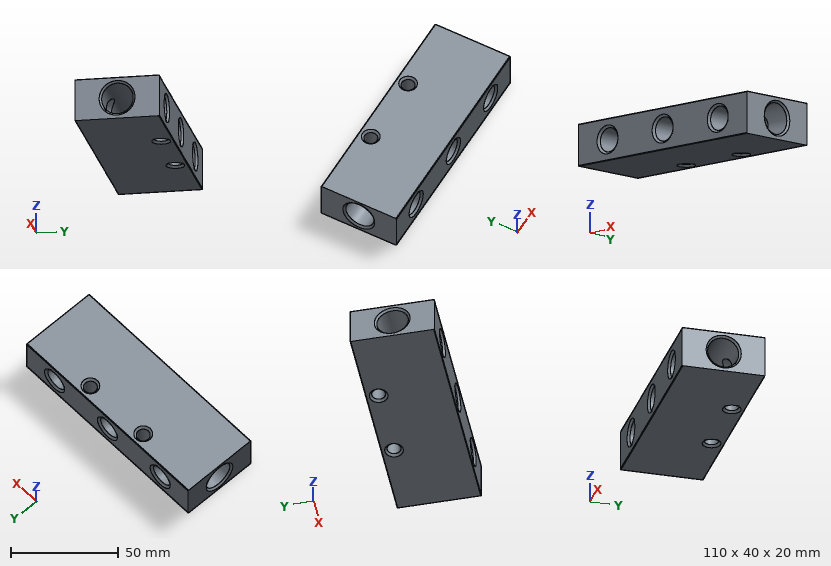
import cadquery as cq

length = 110.0
depth = 40.0
height = 20.0
edge_chamfer = 0.3

main_bore = 15.0
main_mouth = 16.9

port_bore = 11.4
port_mouth = 13.6
port_pitch = 36.0

mount_bore = 6.5
mount_mouth = 8.7
mount_y = 14.0


def through_hole(axis, center, span, bore, mouth):
    """Cutter for a through hole with a 45 degree countersink at both ends."""
    half = span / 2
    sink = (mouth - bore) / 2
    profile = [
        (0, -half),
        (mouth / 2, -half),
        (bore / 2, -half + sink),
        (bore / 2, half - sink),
        (mouth / 2, half),
        (0, half),
    ]
    cutter = cq.Workplane("XY").polyline(profile).close().revolve(360, (0, 0), (0, 1))
    if axis == "X":
        cutter = cutter.rotate((0, 0, 0), (0, 0, 1), 90)
    elif axis == "Z":
        cutter = cutter.rotate((0, 0, 0), (1, 0, 0), 90)
    return cutter.translate(center)


result = cq.Workplane("XY").box(length, depth, height).edges("|X").chamfer(edge_chamfer)

result = result.cut(through_hole("X", (0, 0, 0), length, main_bore, main_mouth))

for step in (-1, 0, 1):
    result = result.cut(through_hole("Y", (step * port_pitch, 0, 0), depth, port_bore, port_mouth))

for side in (-1, 1):
    center = (side * port_pitch / 2, mount_y, 0)
    result = result.cut(through_hole("Z", center, height, mount_bore, mount_mouth))